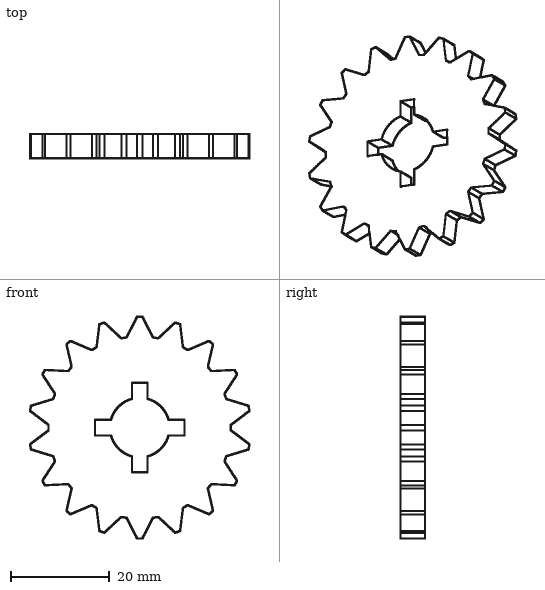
import cadquery as cq
import math

tooth_count = 18
tip_height = 22.5
tip_width = 1.1
root_height = 18.5
root_width = 1.1
thickness = 5.0
bore_diameter = 12.05
slot_length = 18.1
slot_width = 3.1


def polar_offset(angle, height, side):
    """Point at a height along a direction, shifted sideways (clockwise positive)."""
    x = height * math.sin(angle) + side * math.cos(angle)
    z = height * math.cos(angle) - side * math.sin(angle)
    return x, z


def gear_outline():
    """Corners of all teeth, clockwise from the tooth that points along +Z."""
    pitch = 2 * math.pi / tooth_count
    points = []
    for i in range(tooth_count):
        tooth_angle = i * pitch
        gap_angle = tooth_angle + pitch / 2
        points.append(polar_offset(tooth_angle, tip_height, -tip_width / 2))
        points.append(polar_offset(tooth_angle, tip_height, tip_width / 2))
        points.append(polar_offset(gap_angle, root_height, -root_width / 2))
        points.append(polar_offset(gap_angle, root_height, root_width / 2))
    return points


def prism(sketch):
    """Extrude an XZ sketch evenly to both sides of the XZ plane."""
    return sketch.extrude(thickness / 2, both=True)


gear = prism(cq.Workplane("XZ").polyline(gear_outline()).close())

bore = prism(cq.Workplane("XZ").circle(bore_diameter / 2))
slot_x = prism(cq.Workplane("XZ").rect(slot_length, slot_width))
slot_z = prism(cq.Workplane("XZ").rect(slot_width, slot_length))

result = gear.cut(bore).cut(slot_x).cut(slot_z)